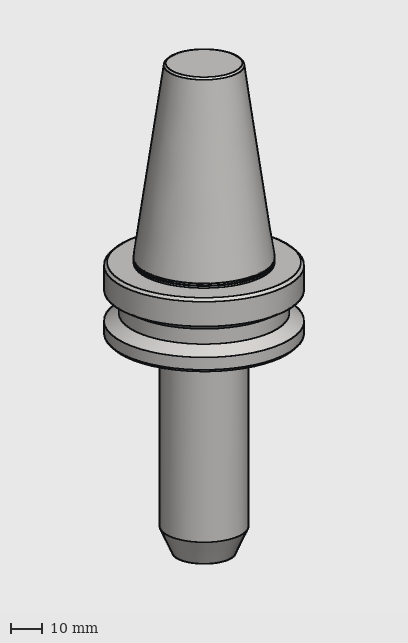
import cadquery as cq
import math

total_length = 165.4

gauge_diameter = 44.5
taper_length = 65.3
taper_ratio = 7 / 24
taper_end_chamfer = 0.7

neck_zone_length = 2.0
neck_diameter = 43.5
collar_height = 0.7
taper_land = 0.5

flange_diameter = 63.0
flange_thickness = 25.0
flange_chamfer = 1.0
groove_diameter = 53.8
groove_floor_width = 5.1
groove_center_below_gauge = 16.5
groove_wall_angle = 30

shank_diameter = 28.1
tip_diameter = 20.0
tip_length = 9.0

gauge_z = total_length - taper_length
flange_top_z = gauge_z - neck_zone_length
flange_bottom_z = flange_top_z - flange_thickness
groove_center_z = gauge_z - groove_center_below_gauge


def chamfered_disc(diameter, bottom_z, thickness, chamfer):
    """Disc on the Z axis with both rims chamfered."""
    disc = cq.Workplane("XY").workplane(offset=bottom_z).circle(diameter / 2).extrude(thickness)
    return disc.edges("%CIRCLE").chamfer(chamfer)


def revolve_profile(points):
    """Solid of revolution about Z from closed (radius, z) points."""
    return cq.Workplane("XZ").polyline(points).close().revolve(360, (0, 0, 0), (0, 1, 0))


def make_shank():
    return revolve_profile([
        (0, 0),
        (tip_diameter / 2, 0),
        (shank_diameter / 2, tip_length),
        (shank_diameter / 2, flange_bottom_z),
        (0, flange_bottom_z),
    ])


def make_flange():
    flange = chamfered_disc(flange_diameter, flange_bottom_z, flange_thickness, flange_chamfer)
    outer_radius = flange_diameter / 2
    floor_radius = groove_diameter / 2
    wall_rise = (outer_radius - floor_radius) * math.tan(math.radians(groove_wall_angle))
    floor_half = groove_floor_width / 2
    mouth_half = floor_half + wall_rise
    groove = revolve_profile([
        (floor_radius, groove_center_z - floor_half),
        (outer_radius, groove_center_z - mouth_half),
        (outer_radius, groove_center_z + mouth_half),
        (floor_radius, groove_center_z + floor_half),
    ])
    return flange.cut(groove)


def make_taper():
    gauge_radius = gauge_diameter / 2
    neck_radius = neck_diameter / 2
    end_radius = (gauge_diameter - taper_length * taper_ratio) / 2
    return revolve_profile([
        (0, flange_top_z),
        (gauge_radius, flange_top_z),
        (gauge_radius, flange_top_z + collar_height),
        (neck_radius, flange_top_z + collar_height),
        (neck_radius, gauge_z - taper_land),
        (gauge_radius, gauge_z - taper_land),
        (gauge_radius, gauge_z),
        (end_radius, total_length - taper_end_chamfer),
        (end_radius - taper_end_chamfer, total_length),
        (0, total_length),
    ])


result = make_shank().union(make_flange()).union(make_taper())